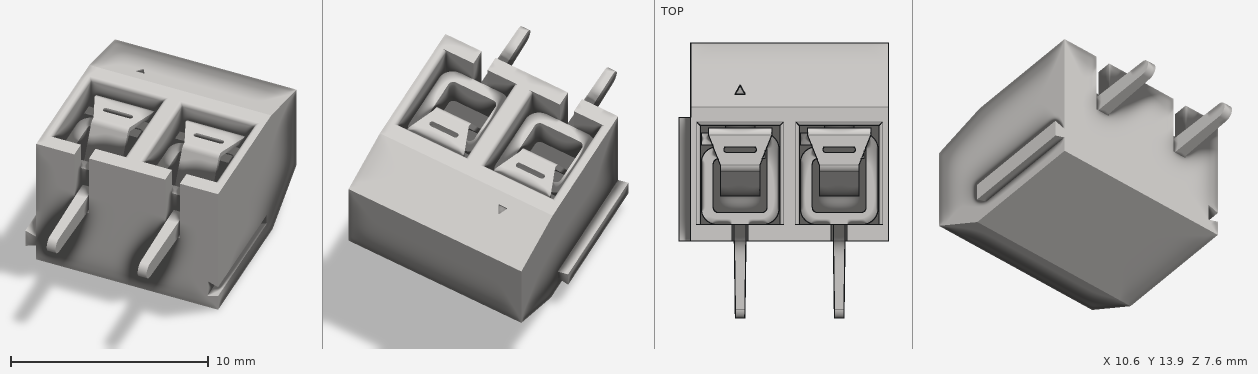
import cadquery as cq
import math


WIDTH = 10.01
DEPTH = 10.01
HEIGHT = 7.6
TOP_FLAT = 6.77
BACK_TOP = 6.81
BOTTOM_FLAT = 6.95
BACK_BOTTOM = 1.88

POLES = 2
PITCH = WIDTH / POLES
POLE_CENTERS = [PITCH * (i + 0.5) for i in range(POLES)]

DOVETAIL_DEPTH = 0.6
DOVETAIL_LENGTH = 6.24
DOVETAIL_Z = 1.2
DOVETAIL_ROOT = 0.58
DOVETAIL_TIP = 1.0

POCKET_WIDTH = 4.0
POCKET_FRONT = 0.83
POCKET_BACK = 5.82
POCKET_DEPTH = 3.34
POCKET_FLOOR = HEIGHT - POCKET_DEPTH
LIP_RADIUS = 0.2

TAB_TOP = HEIGHT - 0.7
TAB_SHEET = 0.26
TAB_BEND = 0.36
TAB_BACK = 5.71
TAB_BEND_FRONT = 3.84
RAMP_ANGLE = math.radians(63)
TAB_WIDTH = 3.2
RAMP_WIDTH = 2.0
TAB_SLOT_LENGTH = 1.64
TAB_SLOT_WIDTH = 0.29
TAB_SLOT_Y = 4.61

CAGE_TOP = HEIGHT - 1.53
CAGE_WIDTH = 3.92
CAGE_SHEET = 0.6
CAGE_INNER_BEND = 0.28
CAGE_OUTER_BEND = 0.79
CAGE_GAP = 0.1
CAGE_BACK = TAB_BACK - TAB_SHEET

SCREW_RADIUS = 0.75
SCREW_Z = (POCKET_FLOOR + CAGE_TOP) / 2

PIN_LENGTH = 3.89
PIN_ROOT_WIDTH = 0.6
PIN_TIP_WIDTH = 0.49
PIN_ROOT_HEIGHT = 0.99
PIN_TIP_HEIGHT = 0.88
PIN_SLOT_WIDTH = 0.8
PIN_SLOT_DEPTH = 3.59
PIN_Z = HEIGHT - PIN_SLOT_DEPTH + PIN_ROOT_HEIGHT / 2

MARK_WIDTH = 0.51
MARK_LENGTH = 0.47
MARK_Y = 7.42
MARK_DEPTH = 0.14


def box(x_range, y_range, z_range):
    """Axis-aligned box from its limits along X, Y and Z."""
    sizes = [high - low for low, high in (x_range, y_range, z_range)]
    corner = (x_range[0], y_range[0], z_range[0])
    return cq.Workplane("XY").box(*sizes, centered=False).translate(corner)


def centered(center, size):
    """Limits of a span of the given size around a center."""
    return (center - size / 2, center + size / 2)


def housing():
    """Side profile extruded across the full width."""
    profile = [
        (0, 0),
        (BOTTOM_FLAT, 0),
        (DEPTH, BACK_BOTTOM),
        (DEPTH, BACK_TOP),
        (TOP_FLAT, HEIGHT),
        (0, HEIGHT),
    ]
    return cq.Workplane("YZ").polyline(profile).close().extrude(WIDTH)


def dovetail(root_x):
    """Dovetail bar that widens from root_x towards -X."""
    tip_x = root_x - DOVETAIL_DEPTH
    root_low, root_high = centered(DOVETAIL_Z, DOVETAIL_ROOT)
    tip_low, tip_high = centered(DOVETAIL_Z, DOVETAIL_TIP)
    profile = [(root_x, root_low), (root_x, root_high), (tip_x, tip_high), (tip_x, tip_low)]
    return cq.Workplane("XZ").polyline(profile).close().extrude(-DOVETAIL_LENGTH)


def pocket(x):
    """Open-topped pocket whose side and back edges flare out into a rounded lip."""
    walls = box(centered(x, POCKET_WIDTH), (POCKET_FRONT, POCKET_BACK), (POCKET_FLOOR, HEIGHT))
    lip = box(
        centered(x, POCKET_WIDTH + 2 * LIP_RADIUS),
        (POCKET_FRONT, POCKET_BACK + LIP_RADIUS),
        (HEIGHT - LIP_RADIUS, HEIGHT),
    )
    rounding_z = HEIGHT - LIP_RADIUS
    for side in (-1, 1):
        edge_x = x + side * (POCKET_WIDTH / 2 + LIP_RADIUS)
        rod = cq.Workplane("XZ").center(edge_x, rounding_z).circle(LIP_RADIUS).extrude(-DEPTH)
        lip = lip.cut(rod)
    edge_y = POCKET_BACK + LIP_RADIUS
    rod = cq.Workplane("YZ").center(edge_y, rounding_z).circle(LIP_RADIUS).extrude(WIDTH)
    return walls.union(lip.cut(rod))


def pin_slot(x):
    """Slot through the front wall, down to the underside of the pin."""
    return box(centered(x, PIN_SLOT_WIDTH), (0, POCKET_FRONT), (HEIGHT - PIN_SLOT_DEPTH, HEIGHT))


def cage(x):
    """Sheet wrapped into a ring whose right side carries on into an outer rear leaf."""
    left, right = centered(x, CAGE_WIDTH)
    outer_leaf_front = CAGE_BACK - CAGE_SHEET
    inner_leaf_back = outer_leaf_front - CAGE_GAP
    inner_leaf_front = inner_leaf_back - CAGE_SHEET
    well_left = left + CAGE_SHEET
    well_right = right - CAGE_SHEET
    well_front = POCKET_FRONT + CAGE_SHEET
    levels = (POCKET_FLOOR, CAGE_TOP)

    outer = box((left, right), (POCKET_FRONT, CAGE_BACK), levels)
    outer = outer.edges("|Z and (<Y or >X)").fillet(CAGE_OUTER_BEND)
    hollow = box((left, well_right), (well_front, outer_leaf_front), levels)
    outer = outer.cut(hollow.edges("|Z and >X").fillet(CAGE_INNER_BEND))

    inner = box((left, well_right - CAGE_GAP), (POCKET_FRONT, inner_leaf_back), levels)
    inner = inner.edges("|Z and <X").fillet(CAGE_OUTER_BEND)
    hollow = box((well_left, right), (well_front, inner_leaf_front), levels)
    inner = inner.cut(hollow.edges("|Z and <X").fillet(CAGE_INNER_BEND))
    return outer.union(inner)


def tab_envelope(inset):
    """Solid under the tab's outer surface, moved inwards by inset, between rear leg and ramp."""
    top = TAB_TOP - inset
    back = TAB_BACK - inset
    half_bend = math.tan(RAMP_ANGLE / 2)
    corner = TAB_BEND_FRONT - (TAB_BEND - inset) * half_bend
    foot = corner - (top - POCKET_FLOOR) / math.tan(RAMP_ANGLE)
    profile = [(back, POCKET_FLOOR), (back, top), (corner, top), (foot, POCKET_FLOOR)]
    solid = cq.Workplane("YZ").polyline(profile).close().extrude(WIDTH)
    return solid.faces(">Z").edges("|X").fillet(TAB_BEND - inset)


def tab(x):
    """Slotted sheet that narrows across its flat top from the rear leg to the ramp."""
    sheet = tab_envelope(0).cut(tab_envelope(TAB_SHEET))
    rear_left, rear_right = centered(x, TAB_WIDTH)
    ramp_left, ramp_right = centered(x, RAMP_WIDTH)
    taper_back = TAB_BACK - TAB_BEND
    outline = [
        (rear_left, TAB_BACK),
        (rear_left, taper_back),
        (ramp_left, TAB_BEND_FRONT),
        (ramp_left, 0),
        (ramp_right, 0),
        (ramp_right, TAB_BEND_FRONT),
        (rear_right, taper_back),
        (rear_right, TAB_BACK),
    ]
    plan = cq.Workplane("XY").polyline(outline).close().extrude(HEIGHT)
    slot = cq.Workplane("XY", origin=(x, TAB_SLOT_Y, TAB_TOP - TAB_SHEET))
    slot = slot.slot2D(TAB_SLOT_LENGTH, TAB_SLOT_WIDTH).extrude(TAB_SHEET)
    return sheet.intersect(plan).cut(slot)


def screw(x):
    """Screw shank that crosses from the cage, through the tab's rear leg, to the back wall."""
    shank = cq.Workplane("XZ", origin=(x, CAGE_BACK, SCREW_Z)).circle(SCREW_RADIUS)
    return shank.extrude(CAGE_BACK - POCKET_BACK)


def pin(x):
    """Pin, straight inside its slot, then tapering in width and height to a half-round tip."""
    half_width = PIN_ROOT_WIDTH / 2
    half_tip_width = PIN_TIP_WIDTH / 2
    plan = [
        (x - half_width, POCKET_FRONT),
        (x - half_width, 0),
        (x - half_tip_width, -PIN_LENGTH),
        (x + half_tip_width, -PIN_LENGTH),
        (x + half_width, 0),
        (x + half_width, POCKET_FRONT),
    ]
    bottom, top = centered(PIN_Z, PIN_ROOT_HEIGHT)
    tip_bottom, tip_top = centered(PIN_Z, PIN_TIP_HEIGHT)
    tip_start = PIN_TIP_HEIGHT / 2 - PIN_LENGTH
    side = (
        cq.Workplane("YZ")
        .moveTo(POCKET_FRONT, top)
        .lineTo(0, top)
        .lineTo(tip_start, tip_top)
        .threePointArc((-PIN_LENGTH, PIN_Z), (tip_start, tip_bottom))
        .lineTo(0, bottom)
        .lineTo(POCKET_FRONT, bottom)
        .close()
        .extrude(WIDTH)
    )
    return side.intersect(cq.Workplane("XY").polyline(plan).close().extrude(HEIGHT))


def mark(x):
    """Triangle sunk square to the sloping top, pointing to the back."""
    rise = BACK_TOP - HEIGHT
    run = DEPTH - TOP_FLAT
    base_z = HEIGHT + rise * (MARK_Y - TOP_FLAT) / run
    slope = cq.Plane(origin=(x, MARK_Y, base_z), xDir=(1, 0, 0), normal=(0, -rise, run))
    half = MARK_WIDTH / 2
    triangle = cq.Workplane(slope).polyline([(-half, 0), (half, 0), (0, MARK_LENGTH)]).close()
    return triangle.extrude(-MARK_DEPTH)


result = housing().union(dovetail(0)).cut(dovetail(WIDTH))
for center in POLE_CENTERS:
    result = result.cut(pocket(center)).cut(pin_slot(center))
    for insert in (cage, tab, screw, pin):
        result = result.union(insert(center))
result = result.cut(mark(POLE_CENTERS[0]))